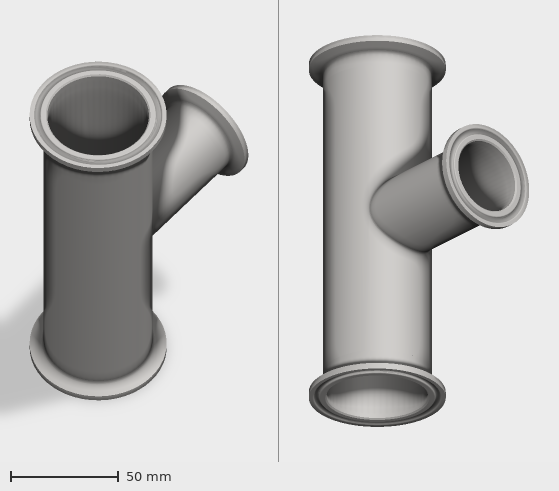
import cadquery as cq
import math

run_length = 171.4
branch_reach = 79.4

wall = 1.7
run_radius = 25.4
branch_radius = 19.0
junction_fillet = 0.9

run_flange_radius = 31.9
branch_flange_radius = 25.4
ferrule_length = 12.5
rim_thickness = 2.9
cone_angle = math.radians(20)
neck_fillet = 1.4
bore_chamfer = 0.7

groove_inset = 3.6
groove_half_width = 1.4
groove_depth = 1.4
groove_lip_fillet = 0.5


def make_ferrule(pipe_radius, flange_radius):
    """Ferrule on the Z axis: sealing face at Z = 0, pipe end below it."""
    bore_radius = pipe_radius - wall
    neck_depth = rim_thickness + (flange_radius - pipe_radius) * math.tan(cone_angle)
    groove_radius = flange_radius - groove_inset

    profile = (
        cq.Workplane("XZ")
        .moveTo(bore_radius, -ferrule_length)
        .lineTo(bore_radius, -bore_chamfer)
        .lineTo(bore_radius + bore_chamfer, 0)
        .lineTo(groove_radius - groove_half_width, 0)
        .threePointArc((groove_radius, -groove_depth), (groove_radius + groove_half_width, 0))
        .lineTo(flange_radius, 0)
        .lineTo(flange_radius, -rim_thickness)
        .lineTo(pipe_radius, -neck_depth)
        .lineTo(pipe_radius, -ferrule_length)
        .close()
    )
    ferrule = profile.revolve(360, (0, 0, 0), (0, 1, 0))

    def circles_at(radius, height):
        return [
            edge for edge in ferrule.edges("%CIRCLE").vals()
            if math.isclose(edge.radius(), radius, abs_tol=0.0002)
            and math.isclose(edge.Center().z, height, abs_tol=0.0002)
        ]

    neck = circles_at(pipe_radius, -neck_depth)
    lips = []
    for side in (-1, 1):
        lips += circles_at(groove_radius + side * groove_half_width, 0)
    ferrule = ferrule.newObject(neck).fillet(neck_fillet)
    ferrule = ferrule.newObject(lips).fillet(groove_lip_fillet)
    return ferrule.solids().val()


def make_tee():
    """Run pipe with the branch blended into its side and both bores opened."""
    run_pipe_length = run_length - 2 * ferrule_length
    branch_end = branch_reach - ferrule_length
    run = cq.Workplane("XY").circle(run_radius).extrude(run_pipe_length / 2, both=True)
    branch = cq.Workplane("XZ").circle(branch_radius).extrude(-branch_end)
    outside = run.union(branch)

    junction = [
        edge for edge in outside.edges().vals()
        if edge.geomType() not in ("CIRCLE", "LINE")
    ]
    outside = outside.newObject(junction).fillet(junction_fillet)

    run_bore = cq.Workplane("XY").circle(run_radius - wall).extrude(run_pipe_length / 2, both=True)
    branch_bore = cq.Workplane("XZ").circle(branch_radius - wall).extrude(-branch_end)
    return outside.cut(run_bore).cut(branch_bore)


tee = make_tee()

run_ferrules = []
for tilt in (0, 180):
    ferrule = make_ferrule(run_radius, run_flange_radius)
    ferrule = ferrule.translate(cq.Vector(0, 0, run_length / 2))
    run_ferrules.append(ferrule.rotate(cq.Vector(0, 0, 0), cq.Vector(1, 0, 0), tilt))

branch_ferrule = make_ferrule(branch_radius, branch_flange_radius)
branch_ferrule = branch_ferrule.translate(cq.Vector(0, 0, branch_reach))
branch_ferrule = branch_ferrule.rotate(cq.Vector(0, 0, 0), cq.Vector(1, 0, 0), -90)

result = cq.Compound.makeCompound([tee.solids().val(), *run_ferrules, branch_ferrule])